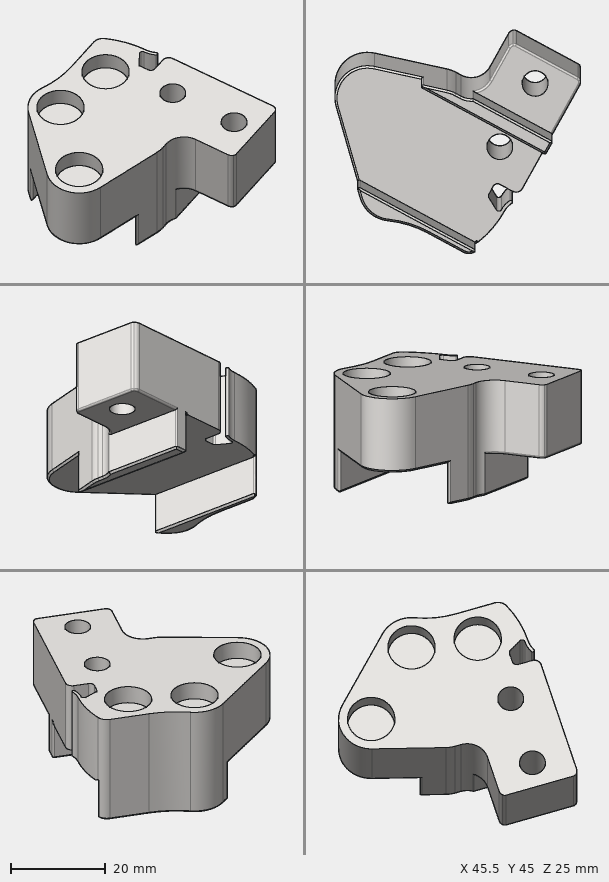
import cadquery as cq
import math

total_height = 25.0
body_bottom = 9.0
lower_chamfer = 0.45
flange_edge_radius = 0.45

hub_radius = 6.9
side_hub = (hub_radius, 20.0)
lower_hub = (20.2, hub_radius)

left_edge_x = 2.28
crown_radius = 22.0
left_blend_radius = 22.0
left_corner_radius = 2.4

crest = (12.75, 44.0)
finger_thickness = 0.75
finger_curl_radius = 5.0
finger_sweep = 27.0

notch_floor_y = 39.35
notch_right_x = 17.4
notch_wall_angle = 60.0
notch_small_radius = 0.6
notch_large_radius = 1.0

flange_right_x = 45.5
flange_top_y = 45.0
flange_bottom_y = 27.8
flange_left_radius = 1.5
flange_corner_x = 44.15
flange_corner_radius = 1.5
flange_side_radius = 1.0
neck_x = 31.5
neck_fillet_radius = 4.5
neck_round_radius = hub_radius
neck_round_y = 22.03

pocket_diameter = 10.0
pocket_depth = 4.0
pocket_centers = [(9.15, 33.95), side_hub, lower_hub]
bolt_diameter = 5.45
bolt_centers = [(24.5, 36.5), (40.0, 36.5)]

left_leg_x = 3.95
right_leg_x = (29.1, 32.25)
leg_edge_radius = 0.35

edge_tolerance = 0.005


def polar(center, radius, angle):
    """Point on a circle, with the angle in degrees."""
    turn = math.radians(angle)
    return (center[0] + radius * math.cos(turn), center[1] + radius * math.sin(turn))


def heading(start, end):
    """Direction from one point to another, in degrees."""
    return math.degrees(math.atan2(end[1] - start[1], end[0] - start[0]))


def add_arc(sketch, center, radius, start, end):
    """Line to the start of an arc, unless already there, then the arc itself."""
    first = polar(center, radius, start)
    here = sketch.val()
    position = here.endPoint() if isinstance(here, cq.Edge) else here
    if math.hypot(position.x - first[0], position.y - first[1]) > edge_tolerance:
        sketch = sketch.lineTo(*first)
    return sketch.threePointArc(polar(center, radius, (start + end) / 2), polar(center, radius, end))


def plate_outline():
    """Closed outline, run counterclockwise from the top of the straight left edge."""
    blend_x = left_edge_x - left_blend_radius
    blend_reach = hub_radius + left_blend_radius
    blend_rise = math.sqrt(blend_reach**2 - (side_hub[0] - blend_x) ** 2)
    blend_center = (blend_x, side_hub[1] + blend_rise)
    blend_angle = heading(blend_center, side_hub)

    crown_center = (crest[0], crest[1] - crown_radius)
    corner_x = left_edge_x + left_corner_radius
    corner_reach = crown_radius - left_corner_radius
    corner_rise = math.sqrt(corner_reach**2 - (crown_center[0] - corner_x) ** 2)
    corner_center = (corner_x, crown_center[1] + corner_rise)
    crown_angle = heading(crown_center, corner_center)

    hub_angle = heading(side_hub, lower_hub) - 90
    neck_center = (neck_x - neck_round_radius, neck_round_y)
    neck_angle = heading(lower_hub, neck_center) - 90

    curl_center = (crest[0], crest[1] + finger_curl_radius)
    tip_angle = finger_sweep - 90
    tip_radius = finger_thickness / 2
    tip_center = polar(curl_center, finger_curl_radius + tip_radius, tip_angle)
    throat_center = (crest[0], crest[1] - finger_thickness - notch_small_radius)
    floor_y = notch_floor_y + notch_small_radius
    floor_shift = (throat_center[1] - floor_y) / math.tan(math.radians(notch_wall_angle))
    floor_center = (throat_center[0] + floor_shift, floor_y)
    wall_normal = 270 - notch_wall_angle
    notch_corner = (notch_right_x - notch_large_radius, notch_floor_y + notch_large_radius)

    flange_left = (notch_right_x + flange_left_radius, flange_top_y - flange_left_radius)
    corner_low = (flange_corner_x, flange_bottom_y + flange_corner_radius)
    corner_high = (flange_corner_x, flange_top_y - flange_corner_radius)
    side_x = flange_right_x - flange_side_radius
    side_shift = flange_corner_radius - flange_side_radius
    side_angle = math.degrees(math.acos((side_x - flange_corner_x) / side_shift))
    side_low = polar(corner_low, side_shift, -side_angle)
    side_high = polar(corner_high, side_shift, side_angle)
    neck_corner = (neck_x + neck_fillet_radius, flange_bottom_y - neck_fillet_radius)

    arcs = [
        (blend_center, left_blend_radius, 0, blend_angle),
        (side_hub, hub_radius, blend_angle + 180, hub_angle + 360),
        (lower_hub, hub_radius, hub_angle, neck_angle),
        (neck_center, neck_round_radius, neck_angle, 0),
        (neck_corner, neck_fillet_radius, 180, 90),
        (corner_low, flange_corner_radius, -90, -side_angle),
        (side_low, flange_side_radius, -side_angle, 0),
        (side_high, flange_side_radius, 0, side_angle),
        (corner_high, flange_corner_radius, side_angle, 90),
        (flange_left, flange_left_radius, 90, 180),
        (notch_corner, notch_large_radius, 0, -90),
        (floor_center, notch_small_radius, 270, wall_normal),
        (throat_center, notch_small_radius, wall_normal, 90),
        (curl_center, finger_curl_radius + finger_thickness, -90, tip_angle),
        (tip_center, tip_radius, tip_angle, tip_angle + 180),
        (curl_center, finger_curl_radius, tip_angle, -90),
        (crown_center, crown_radius, 90, crown_angle),
        (corner_center, left_corner_radius, crown_angle, 180),
    ]
    sketch = cq.Workplane("XY").moveTo(left_edge_x, corner_center[1])
    for center, radius, start, end in arcs:
        sketch = add_arc(sketch, center, radius, start, end)
    return sketch.close()


def slab(x_range, y_range, z_range):
    """Axis-aligned block between the given limits."""
    spans = [x_range, y_range, z_range]
    sizes = [high - low for low, high in spans]
    return cq.Workplane("XY").box(*sizes, centered=False).translate([low for low, _ in spans])


full_plate = plate_outline().extrude(total_height)
filler_x = (left_leg_x, right_leg_x[0])
filler_y = (pocket_centers[0][1], flange_top_y + flange_left_radius)
filler = slab(filler_x, filler_y, (0, total_height))
closed_plate = full_plate.union(filler)
plate_depth = filler_y[1]


def lower_face(bottom):
    """Lower face of the closed plate cut off at the given height."""
    layer = slab((0, flange_right_x), (0, plate_depth), (bottom, total_height))
    return closed_plate.intersect(layer).faces("<Z")


def make_body():
    """Plate above the legs: chamfered below the hubs, rounded below the flange."""
    seam_x = sum(right_leg_x) / 2
    heights = (body_bottom, total_height)
    hub_side = slab((0, seam_x), (0, plate_depth), heights)
    flange_side = slab((seam_x, flange_right_x), (0, plate_depth), heights)
    hub_part = lower_face(body_bottom).chamfer(lower_chamfer).intersect(hub_side)
    flange_part = lower_face(body_bottom).edges().fillet(flange_edge_radius).intersect(flange_side)
    return hub_part.union(flange_part).intersect(full_plate)


def make_leg(x_range):
    """Piece of the plate between two X limits, with rounded wall edges and a chamfered foot."""
    leg_top = body_bottom + max(lower_chamfer, flange_edge_radius)
    block = slab(x_range, (0, flange_top_y), (0, leg_top))
    leg = full_plate.intersect(block)
    for wall_x in x_range:
        if wall_x > 0:
            low_corner = (wall_x - edge_tolerance, 0, 0)
            high_corner = (wall_x + edge_tolerance, plate_depth, leg_top)
            wall_edges = cq.selectors.BoxSelector(low_corner, high_corner)
            leg = leg.edges("|Z").edges(wall_edges).fillet(leg_edge_radius)
    foot = block.faces("<Z").chamfer(lower_chamfer)
    return leg.intersect(foot).intersect(lower_face(0).chamfer(lower_chamfer))


body = make_body()
for leg_x_range in [(0, left_leg_x), right_leg_x]:
    body = body.union(make_leg(leg_x_range))

top = cq.Workplane("XY").workplane(offset=total_height)
pockets = top.pushPoints(pocket_centers).circle(pocket_diameter / 2).extrude(-pocket_depth)
bolt_holes = top.pushPoints(bolt_centers).circle(bolt_diameter / 2).extrude(-total_height)

result = body.cut(pockets).cut(bolt_holes)